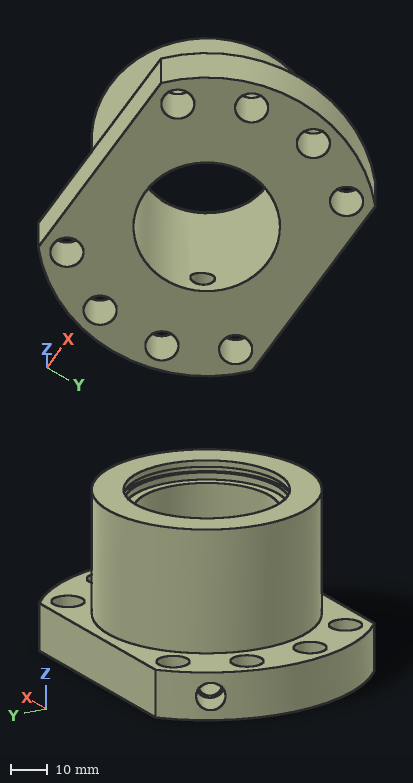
import cadquery as cq
import math

flange_diameter = 93.0
flange_width = 70.0
flange_height = 13.95

body_diameter = 63.0
total_height = 50.0
bore_diameter = 40.0

recess_diameter = 45.4
recess_depth = 5.6
groove_diameter = 47.6
groove_top_depth = 1.9
groove_height = 1.7

bolt_hole_diameter = 9.0
bolt_circle_diameter = 78.0
bolt_angles_from_x_axis = (-45, -15, 15, 45)

port_angle = 150
port_diameter = 8.0
port_depth = 9.7
passage_diameter = 6.7


def vertical_cylinder(diameter, bottom, height):
    return cq.Workplane("XY").workplane(offset=bottom).circle(diameter / 2).extrude(height)


def radial_cylinder(diameter, inner_radius, outer_radius):
    """Cylinder along the port axis, at half the flange height."""
    angle = math.radians(port_angle)
    outward = cq.Vector(math.cos(angle), math.sin(angle), 0)
    start = outward * inner_radius + cq.Vector(0, 0, flange_height / 2)
    length = outer_radius - inner_radius
    return cq.Workplane(cq.Solid.makeCylinder(diameter / 2, length, start, outward))


def make_flange():
    disc = vertical_cylinder(flange_diameter, 0, flange_height)
    flats = cq.Workplane("XY").rect(flange_diameter, flange_width).extrude(flange_height)
    return disc.intersect(flats)


def make_bolt_holes():
    radius = bolt_circle_diameter / 2
    centers = []
    for side_angle in (0, 180):
        for offset_angle in bolt_angles_from_x_axis:
            angle = math.radians(side_angle + offset_angle)
            centers.append((radius * math.cos(angle), radius * math.sin(angle)))
    return cq.Workplane("XY").pushPoints(centers).circle(bolt_hole_diameter / 2).extrude(flange_height)


def make_stepped_bore():
    bore = vertical_cylinder(bore_diameter, 0, total_height)
    recess = vertical_cylinder(recess_diameter, total_height - recess_depth, recess_depth)
    groove_bottom = total_height - groove_top_depth - groove_height
    groove = vertical_cylinder(groove_diameter, groove_bottom, groove_height)
    return bore.union(recess).union(groove)


def make_port():
    flange_radius = flange_diameter / 2
    port_floor_radius = flange_radius - port_depth
    passage_start = bore_diameter / 2 - passage_diameter / 2
    port = radial_cylinder(port_diameter, port_floor_radius, flange_radius)
    passage = radial_cylinder(passage_diameter, passage_start, port_floor_radius)
    return port.union(passage)


body = vertical_cylinder(body_diameter, 0, total_height)
result = make_flange().union(body)
result = result.cut(make_bolt_holes()).cut(make_stepped_bore()).cut(make_port())